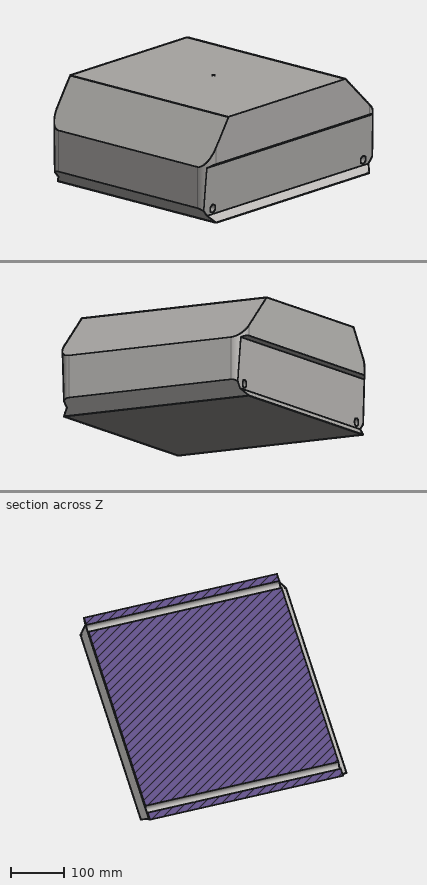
import cadquery as cq

width = 400.0
length = 480.0
height = 200.0
corner_radius = 25.0
rim_height = 1.0

shoulder_height = 110.5
front_slope_run = 60.0
rear_slope_run = 91.0
end_undercut_height = 30.0
end_undercut_run = 25.0

recess_top = 115.0
recess_ledge_drop = 5.5
recess_top_depth = 7.0
recess_bottom_depth = 12.5
foot_height = 14.0

cross_hole_diameter = 15.0
cross_hole_height = 25.0
cross_hole_spacing = 421.5
roof_hole_diameter = 5.0
roof_hole_depth = 5.0

half_width = width / 2
half_length = length / 2


def rounded_block():
    """Full-height block with rounded vertical corners."""
    block = cq.Workplane("XY").box(width, length, height, centered=(True, True, False))
    return block.edges("|Z").fillet(corner_radius)


def length_profile():
    """Side outline with the sloped and undercut ends, extruded across the width."""
    foot_end = half_length - end_undercut_run
    roof_rear = half_length - rear_slope_run
    roof_front = -half_length + front_slope_run
    outline = [
        (-foot_end, 0),
        (foot_end, 0),
        (foot_end, rim_height),
        (half_length, end_undercut_height),
        (half_length, shoulder_height),
        (roof_rear, height - rim_height),
        (roof_rear, height),
        (roof_front, height),
        (roof_front, height - rim_height),
        (-half_length, shoulder_height),
        (-half_length, end_undercut_height),
        (-foot_end, rim_height),
    ]
    return cq.Workplane("YZ").polyline(outline).close().extrude(half_width, both=True)


def width_profile():
    """End outline with the recessed sides, extruded along the length."""
    right_side = [
        (half_width, 0),
        (half_width, rim_height),
        (half_width - recess_bottom_depth, foot_height),
        (half_width - recess_top_depth, recess_top - recess_ledge_drop),
        (half_width, recess_top),
        (half_width, height),
    ]
    left_side = [(-x, z) for x, z in reversed(right_side)]
    outline = right_side + left_side
    return cq.Workplane("XZ").polyline(outline).close().extrude(half_length, both=True)


def cross_holes():
    """Two holes running through the full width near the lower corners."""
    half_spacing = cross_hole_spacing / 2
    return (
        cq.Workplane("YZ")
        .pushPoints([(-half_spacing, cross_hole_height), (half_spacing, cross_hole_height)])
        .circle(cross_hole_diameter / 2)
        .extrude(half_width, both=True)
    )


def roof_hole():
    """Small blind hole at the centre of the roof."""
    return (
        cq.Workplane("XY", origin=(0, 0, height))
        .circle(roof_hole_diameter / 2)
        .extrude(-roof_hole_depth)
    )


body = rounded_block().intersect(length_profile()).intersect(width_profile())
result = body.cut(cross_holes()).cut(roof_hole())